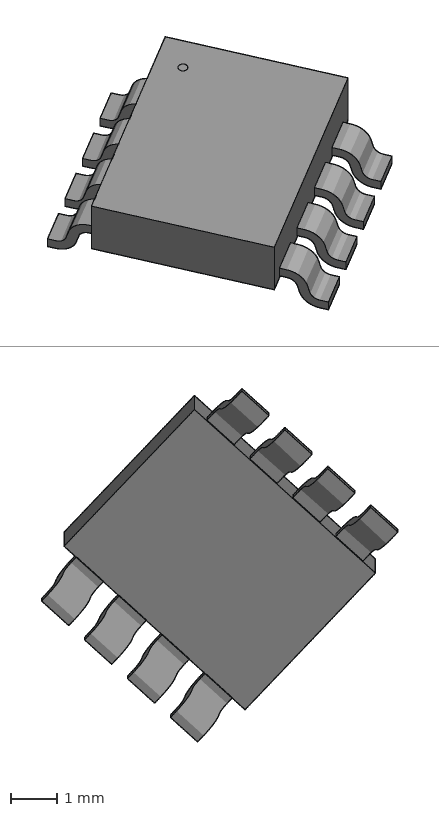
import cadquery as cq
import math

SPAN_X = 6.35
BODY_Y = 5.33
TOP_Z = 1.96

BODY_X = 4.135
STANDOFF = 0.64

LEADS_PER_SIDE = 4
LEAD_PITCH = 1.265
LEAD_WIDTH = 0.8
LEAD_THICKNESS = 0.24
LEAD_RISE = 0.95
FOOT_FLAT = 0.19
BEND_RADIUS = 0.24
BEND_ANGLE = 75.0

MARKER_DIAMETER = 0.21
MARKER_DEPTH = 0.065
MARKER_INSET = 0.64

FIRST_LEAD_Y = LEAD_PITCH * (LEADS_PER_SIDE - 1) / 2
LEAD_ROWS = [FIRST_LEAD_Y - i * LEAD_PITCH for i in range(LEADS_PER_SIDE)]


def make_marker():
    """Thin disc whose upper face is level with the housing top."""
    return (
        cq.Workplane("XY", origin=(MARKER_INSET - BODY_X / 2, FIRST_LEAD_Y, TOP_Z))
        .circle(MARKER_DIAMETER / 2)
        .extrude(-MARKER_DEPTH)
    )


def make_housing(marker):
    """Rectangular block with a recess that matches the marker."""
    block = (
        cq.Workplane("XY", origin=(0, 0, STANDOFF))
        .rect(BODY_X, BODY_Y)
        .extrude(TOP_Z - STANDOFF)
    )
    return block.cut(marker)


def make_left_lead(y_center):
    """S-bent strip from the -X foot tip to the -X face of the housing."""
    outer_radius = BEND_RADIUS + LEAD_THICKNESS
    sine = math.sin(math.radians(BEND_ANGLE))
    cosine = math.cos(math.radians(BEND_ANGLE))

    bends_rise = (BEND_RADIUS + outer_radius) * (1 - cosine)
    leg_length = (LEAD_RISE - LEAD_THICKNESS - bends_rise) / sine
    bends_run = (BEND_RADIUS + outer_radius) * sine

    tip_x = -SPAN_X / 2
    body_x = -BODY_X / 2
    foot_x = tip_x + FOOT_FLAT
    foot_z = LEAD_THICKNESS + BEND_RADIUS
    shoulder_x = foot_x + bends_run + leg_length * cosine
    shoulder_z = LEAD_RISE - outer_radius

    def lower_bend(radius, angle):
        """Point on the lower bend, angle measured from straight down."""
        turn = math.radians(angle)
        return foot_x + radius * math.sin(turn), foot_z - radius * math.cos(turn)

    def upper_bend(radius, angle):
        """Point on the upper bend, angle measured from straight up."""
        turn = math.radians(angle)
        return shoulder_x - radius * math.sin(turn), shoulder_z + radius * math.cos(turn)

    half_turn = BEND_ANGLE / 2
    profile = (
        cq.Workplane("XZ", origin=(0, y_center + LEAD_WIDTH / 2, 0))
        .moveTo(tip_x, 0)
        .lineTo(*lower_bend(outer_radius, 0))
        .threePointArc(lower_bend(outer_radius, half_turn), lower_bend(outer_radius, BEND_ANGLE))
        .lineTo(*upper_bend(BEND_RADIUS, BEND_ANGLE))
        .threePointArc(upper_bend(BEND_RADIUS, half_turn), upper_bend(BEND_RADIUS, 0))
        .lineTo(body_x, LEAD_RISE - LEAD_THICKNESS)
        .lineTo(body_x, LEAD_RISE)
        .lineTo(*upper_bend(outer_radius, 0))
        .threePointArc(upper_bend(outer_radius, half_turn), upper_bend(outer_radius, BEND_ANGLE))
        .lineTo(*lower_bend(BEND_RADIUS, BEND_ANGLE))
        .threePointArc(lower_bend(BEND_RADIUS, half_turn), lower_bend(BEND_RADIUS, 0))
        .lineTo(tip_x, LEAD_THICKNESS)
        .close()
    )
    return profile.extrude(LEAD_WIDTH)


marker = make_marker()
housing = make_housing(marker)

leads = []
for lead_y in LEAD_ROWS:
    left_lead = make_left_lead(lead_y)
    right_lead = left_lead.mirror("YZ")
    leads += [left_lead.val(), right_lead.val()]

result = cq.Compound.makeCompound([housing.val(), marker.val(), *leads])